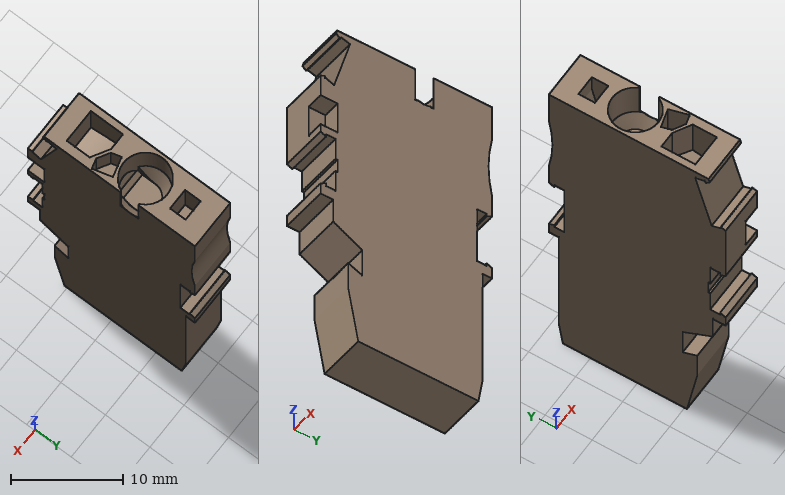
import cadquery as cq
import math

THICKNESS = 5.15
DEPTH = 18.8
HEIGHT = 37.15

LIP_INSET = 0.6
LIP_HEIGHT = 0.3

WAIST_INSET = 1.65
HEAD_BOTTOM = 23.63
FLANGE_TOP = 17.25
FLANGE_BOTTOM = 15.97
WAIST_GROOVE_DEPTH = 0.22
WAIST_GROOVE_BOTTOM = 19.7
WAIST_GROOVE_TOP = 21.18

FOOT_FRONT = 3.0
FOOT_BACK = DEPTH - 1.05
FOOT_BOTTOM_FRONT = 4.12
FOOT_BOTTOM_BACK = DEPTH - 1.5
FRONT_TAPER_TOP = 6.05
BACK_TAPER_TOP = 2.75
CATCH_BACK = 4.57
CATCH_LIP_TOP = 9.05
CATCH_FLOOR = 8.4
CATCH_CEILING = 11.5
SHOULDER_FRONT = 1.37
SHOULDER_BOTTOM = 13.25

STEP_TOP = 30.57
STEP_LIP_INSET = 0.52
STEP_LIP_HEIGHT = 0.2
LABEL_FACE_BOTTOM = (1.5, 30.2)
LABEL_FACE_TOP = (3.25, 36.22)
BROW_FRONT = 1.7
BROW_BOTTOM = 36.7
BROW_LIP_TIP = (2.08, 36.35)
BROW_LIP_BACK = (2.25, 36.5)
BROW_SLANT = 0.1

HOLLOW_CENTER = 29.65
HOLLOW_HALF_HEIGHT = 3.45
HOLLOW_DEPTH = 0.37

WINDOW_SIZE = 1.85
WINDOW_BOTTOM = 24.55
WINDOW_TOP = 28.12

WELL_X = 2.8
WELL_Y = 11.4
WELL_RADIUS = 2.45
WELL_STRAIGHT_DEPTH = 3.7
SLOT_HALF_WIDTH = 1.5
CONE_ANGLE = 54
RAMP_RUN = 0.55
RAMP_ANGLE = 35
LEDGE_ANGLE = 65
SIDE_OPENING_WIDTH = 2.05

TEST_X_MIN = 1.5
TEST_X_MAX = 3.68
TEST_Y_MIN = 14.85
TEST_Y_MAX = 16.6
TEST_FLOOR_Y_MAX = 16.0
TEST_STRAIGHT_DEPTH = 1.85
TEST_RAMP_ANGLE = 75

RELEASE_X = 3.7
RELEASE_Y = 7.75
RELEASE_SIDE = 2.05
RELEASE_CUT = 1.0
RELEASE_TILT = 15
RELEASE_DEPTH = 2.97

ENTRY_X_MIN = 0.7
ENTRY_X_MAX = 4.25
ENTRY_Y_MIN = 3.68
ENTRY_Y_MAX = 7.28
ENTRY_CUT_X = 2.45
ENTRY_CUT_ANGLE = 45 - RELEASE_TILT
ENTRY_DEPTH = 3.7
ENTRY_FLOOR_RADIUS = 15.97
ENTRY_FLOOR_CREST_Y = 8.73


def extrude_along_x(profile, x_min, x_max):
    """Extrude a closed outline drawn on the YZ plane from x_min to x_max."""
    return profile.extrude(x_max - x_min).translate((x_min, 0, 0))


def make_body():
    hollow_low = HOLLOW_CENTER - HOLLOW_HALF_HEIGHT
    hollow_high = HOLLOW_CENTER + HOLLOW_HALF_HEIGHT
    groove_y = WAIST_INSET + WAIST_GROOVE_DEPTH
    waist_back = DEPTH - WAIST_INSET
    lip_back = DEPTH - LIP_INSET

    foot = [
        (FOOT_BOTTOM_BACK, 0),
        (FOOT_BOTTOM_FRONT, 0),
        (FOOT_FRONT, FRONT_TAPER_TOP),
        (FOOT_FRONT, CATCH_LIP_TOP),
        (CATCH_BACK, CATCH_FLOOR),
        (CATCH_BACK, CATCH_CEILING),
        (SHOULDER_FRONT, SHOULDER_BOTTOM),
        (SHOULDER_FRONT, FLANGE_BOTTOM),
    ]
    front_waist = [
        (0, FLANGE_BOTTOM),
        (0, FLANGE_TOP),
        (LIP_INSET, FLANGE_TOP + LIP_HEIGHT),
        (LIP_INSET, FLANGE_TOP),
        (WAIST_INSET, FLANGE_TOP),
        (WAIST_INSET, WAIST_GROOVE_BOTTOM),
        (groove_y, WAIST_GROOVE_BOTTOM),
        (groove_y, WAIST_GROOVE_TOP),
        (WAIST_INSET, WAIST_GROOVE_TOP),
        (WAIST_INSET, HEAD_BOTTOM),
        (LIP_INSET, HEAD_BOTTOM),
        (LIP_INSET, HEAD_BOTTOM - LIP_HEIGHT),
        (0, HEAD_BOTTOM),
    ]
    front_head = [
        (0, STEP_TOP),
        (STEP_LIP_INSET, STEP_TOP + STEP_LIP_HEIGHT),
        (STEP_LIP_INSET, STEP_TOP),
        LABEL_FACE_BOTTOM,
        LABEL_FACE_TOP,
        BROW_LIP_BACK,
        BROW_LIP_TIP,
        (BROW_FRONT, BROW_BOTTOM),
        (BROW_FRONT + BROW_SLANT, HEIGHT),
        (DEPTH, HEIGHT),
        (DEPTH, hollow_high),
    ]
    back_edge = [
        (DEPTH, HEAD_BOTTOM),
        (lip_back, HEAD_BOTTOM - LIP_HEIGHT),
        (lip_back, HEAD_BOTTOM),
        (waist_back, HEAD_BOTTOM),
        (waist_back, FLANGE_TOP),
        (lip_back, FLANGE_TOP),
        (lip_back, FLANGE_TOP + LIP_HEIGHT),
        (DEPTH, FLANGE_TOP),
        (DEPTH, FLANGE_BOTTOM),
        (FOOT_BACK, FLANGE_BOTTOM),
        (FOOT_BACK, BACK_TAPER_TOP),
    ]
    outline = (
        cq.Workplane("YZ")
        .polyline(foot + front_waist + front_head)
        .threePointArc((DEPTH - HOLLOW_DEPTH, HOLLOW_CENTER), (DEPTH, hollow_low))
    )
    for point in back_edge:
        outline = outline.lineTo(*point)
    return extrude_along_x(outline.close(), 0, THICKNESS)


def make_window():
    """Square-plan notch in the front step, open to the front and to +X."""
    return cq.Workplane("XY").box(
        WINDOW_SIZE, WINDOW_SIZE, WINDOW_TOP - WINDOW_BOTTOM, centered=False
    ).translate((THICKNESS - WINDOW_SIZE, 0, WINDOW_BOTTOM))


def make_screw_well():
    straight_bottom = HEIGHT - WELL_STRAIGHT_DEPTH
    cone_height = (WELL_RADIUS - SLOT_HALF_WIDTH) * math.tan(math.radians(CONE_ANGLE))
    floor = straight_bottom - cone_height

    bore = (
        cq.Workplane("XZ")
        .polyline([
            (0, floor),
            (SLOT_HALF_WIDTH, floor),
            (WELL_RADIUS, straight_bottom),
            (WELL_RADIUS, HEIGHT),
            (0, HEIGHT),
        ])
        .close()
        .revolve(360, (0, 0), (0, 1))
        .translate((WELL_X, WELL_Y, 0))
    )

    ramp_foot_y = WELL_Y - SLOT_HALF_WIDTH
    ramp_head_y = ramp_foot_y - RAMP_RUN
    ramp_head_z = floor + RAMP_RUN * math.tan(math.radians(RAMP_ANGLE))
    ledge_end_y = WELL_Y - WELL_RADIUS
    ledge_end_z = ramp_head_z + (ramp_head_y - ledge_end_y) * math.tan(math.radians(LEDGE_ANGLE))
    slot_outline = cq.Workplane("YZ").polyline([
        (WELL_Y, floor),
        (ramp_foot_y, floor),
        (ramp_head_y, ramp_head_z),
        (ledge_end_y, ledge_end_z),
        (ledge_end_y, HEIGHT),
        (WELL_Y, HEIGHT),
    ]).close()
    slot = extrude_along_x(slot_outline, WELL_X - SLOT_HALF_WIDTH, WELL_X + SLOT_HALF_WIDTH)
    envelope = (
        cq.Workplane("XY", origin=(WELL_X, WELL_Y, floor))
        .circle(WELL_RADIUS)
        .extrude(HEIGHT - floor)
    )

    opening = cq.Workplane("XY").box(
        THICKNESS - WELL_X, SIDE_OPENING_WIDTH, WELL_STRAIGHT_DEPTH, centered=(False, True, False)
    ).translate((WELL_X, WELL_Y, straight_bottom))
    return bore.union(slot.intersect(envelope)).union(opening)


def make_test_hole():
    ramp_bottom = HEIGHT - TEST_STRAIGHT_DEPTH
    ramp_height = (TEST_Y_MAX - TEST_FLOOR_Y_MAX) * math.tan(math.radians(TEST_RAMP_ANGLE))
    floor = ramp_bottom - ramp_height
    outline = cq.Workplane("YZ").polyline([
        (TEST_Y_MIN, floor),
        (TEST_FLOOR_Y_MAX, floor),
        (TEST_Y_MAX, ramp_bottom),
        (TEST_Y_MAX, HEIGHT),
        (TEST_Y_MIN, HEIGHT),
    ]).close()
    return extrude_along_x(outline, TEST_X_MIN, TEST_X_MAX)


def make_wire_entry():
    cut_drop = (ENTRY_X_MAX - ENTRY_CUT_X) * math.tan(math.radians(ENTRY_CUT_ANGLE))
    floor_crest = HEIGHT - ENTRY_DEPTH
    prism_bottom = floor_crest - ENTRY_DEPTH
    prism = (
        cq.Workplane("XY", origin=(0, 0, prism_bottom))
        .polyline([
            (ENTRY_X_MIN, ENTRY_Y_MIN),
            (ENTRY_X_MAX, ENTRY_Y_MIN),
            (ENTRY_X_MAX, ENTRY_Y_MAX - cut_drop),
            (ENTRY_CUT_X, ENTRY_Y_MAX),
            (ENTRY_X_MIN, ENTRY_Y_MAX),
        ])
        .close()
        .extrude(HEIGHT - prism_bottom)
    )
    dome_outline = cq.Workplane("YZ").center(
        ENTRY_FLOOR_CREST_Y, floor_crest - ENTRY_FLOOR_RADIUS
    ).circle(ENTRY_FLOOR_RADIUS)
    return prism.cut(extrude_along_x(dome_outline, 0, THICKNESS))


def make_release_hole():
    half = RELEASE_SIDE / 2
    return (
        cq.Workplane("XY")
        .polyline([
            (-half, half),
            (half, half),
            (half, -half),
            (RELEASE_CUT - half, -half),
            (-half, RELEASE_CUT - half),
        ])
        .close()
        .extrude(RELEASE_DEPTH)
        .rotate((0, 0, 0), (0, 0, 1), RELEASE_TILT)
        .translate((RELEASE_X, RELEASE_Y, HEIGHT - RELEASE_DEPTH))
    )


result = make_body()
for pocket in (
    make_window(),
    make_screw_well(),
    make_test_hole(),
    make_wire_entry(),
    make_release_hole(),
):
    result = result.cut(pocket)